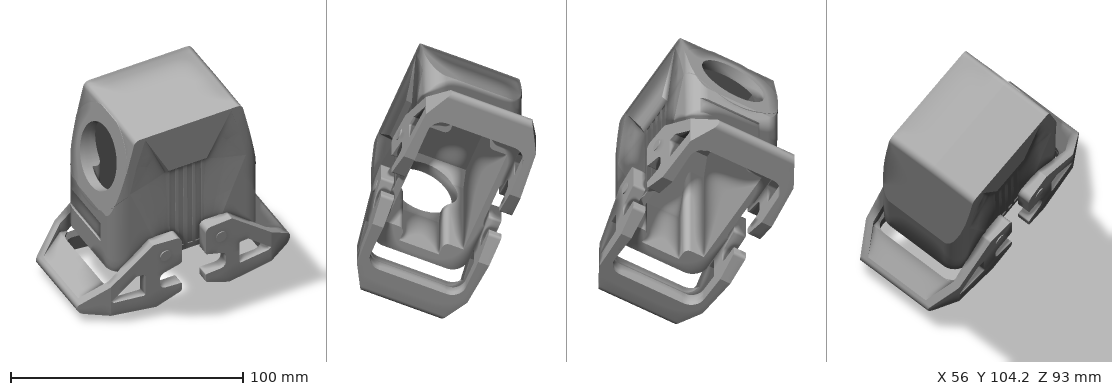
import cadquery as cq
import math

RIM_HALF_WIDTH = 22.2
TOP_HALF_WIDTH = 23.0
HOOD_HALF_LENGTH = 36.3
HOOD_HEIGHT = 72.2
EAVES_HEIGHT = 71.7
SHOULDER_HEIGHT = 29.2
LEAN = 0.235
CORNER_RADIUS = 7.6
TOP_RADIUS = 3.1

SIDE_WALL = 4.2
END_WALL = 5.1
CAVITY_HEIGHT = 67.7
CAVITY_CORNER_RADIUS = 3.1
POST_INNER_X = 9.2
POST_FRONT_Y = 24.9
POST_RADIUS = 2.6

ENTRY_HEIGHT = 48.9
ENTRY_RADIUS = 15.3
ENTRY_DEPTH = 13.5
COLLAR_RADIUS = 23.7
COLLAR_PROUD = 0.16
COLLAR_DEPTH = 4.2
COLLAR_TOP = 70.9
COLLAR_OVERHANG = 0.3

LABEL_LEFT = -18.3
LABEL_RIGHT = 10.4
LABEL_BOTTOM = 10.8
LABEL_TOP = 20.9
LABEL_DEPTH = 1.0

CHANNEL_RIM_X = 20.8
CHANNEL_TOP_X = 20.2
LEDGE_FOOT_HEIGHT = 46.1
PLATEAU_DEPTH = 0.2
GROOVE_BOTTOM = 2.7
GROOVE_DEPTH = 0.5
GROOVE_SPANS = ((0.8, 3.4), (4.8, 7.8))

LEVER_TIP_Y = 52.1
LEVER_INNER_X = 22.1
LEVER_HOOK_X = 56.0 / 2
LEVER_BEND_X = 25.6
LEVER_BEND_Y = 39.3
LEVER_TIP_X = 18.7
LEVER_HOOK_Y = 5.8
BAR_INNER_Y = 38.6
BAR_CORNER_RADIUS = 6.5
TRAY_END_Y = 50.2
TRAY_END_X = 15.7
TRAY_END_HEIGHT = -11.8
TRAY_INNER_HEIGHT = -6.8
WEB_INNER_Y = 29.2
WEB_INNER_HEIGHT = -8.9
PIVOT_Y = 13.5
PIVOT_HEIGHT = 6.4
PIVOT_RADIUS = 2.6
PIVOT_INNER_X = 19.3
PIVOT_OUTER_X = 27.8

OVERCUT = 3.1
REACH = 104.2
SPOT_SIZE = 0.2

LEAN_ANGLE = math.atan(LEAN)


def side_x(z):
    """Half width of the drafted hood side at height z."""
    return RIM_HALF_WIDTH + (TOP_HALF_WIDTH - RIM_HALF_WIDTH) * z / EAVES_HEIGHT


def end_y(z):
    """Distance of the leaning end wall from the middle at height z."""
    return HOOD_HALF_LENGTH - LEAN * (z - SHOULDER_HEIGHT)


def end_profile(height, wall, entry_inset=0.0):
    """Side outline with leaning ends, inset by wall, extruded across the hood.

    The leaning wall on the entry end is set back a further entry_inset.
    """
    top = height + OVERCUT
    right = [
        (HOOD_HALF_LENGTH - wall, -OVERCUT),
        (HOOD_HALF_LENGTH - wall, SHOULDER_HEIGHT),
        (end_y(top) - wall, top),
    ]
    bend = SHOULDER_HEIGHT - entry_inset / LEAN
    left = [
        (-end_y(top) + wall + entry_inset, top),
        (-HOOD_HALF_LENGTH + wall, bend),
        (-HOOD_HALF_LENGTH + wall, -OVERCUT),
    ]
    return cq.Workplane("YZ").polyline(right + left).close().extrude(HOOD_HALF_LENGTH, both=True)


def rounded_block():
    """Drafted block with a ridged top and rounded upright corners."""
    section = [
        (-RIM_HALF_WIDTH, 0),
        (RIM_HALF_WIDTH, 0),
        (TOP_HALF_WIDTH, EAVES_HEIGHT),
        (0, HOOD_HEIGHT),
        (-TOP_HALF_WIDTH, EAVES_HEIGHT),
    ]
    block = cq.Workplane("XZ").polyline(section).close().extrude(HOOD_HALF_LENGTH, both=True)
    corners = cq.selectors.BoxSelector(
        (-REACH, -REACH, OVERCUT), (REACH, REACH, EAVES_HEIGHT - OVERCUT)
    )
    return block.edges(corners).fillet(CORNER_RADIUS)


def hood_body():
    body = rounded_block().intersect(end_profile(HOOD_HEIGHT, 0, COLLAR_PROUD))
    top_y = end_y(HOOD_HEIGHT)
    for side in (-1, 1):
        rim = cq.selectors.BoxSelector(
            (-REACH, side * top_y - 1, EAVES_HEIGHT - 1),
            (REACH, side * top_y + 1, HOOD_HEIGHT + 1),
        )
        body = body.edges(rim).edges("not #X").fillet(TOP_RADIUS)
    return body


def cavity():
    length = 2 * (HOOD_HALF_LENGTH - END_WALL)
    room = (
        cq.Workplane("XY")
        .rect(2 * (RIM_HALF_WIDTH - SIDE_WALL), length)
        .extrude(CAVITY_HEIGHT)
        .edges("|Z").fillet(CAVITY_CORNER_RADIUS)
        .intersect(end_profile(CAVITY_HEIGHT, END_WALL))
    )
    post_width = RIM_HALF_WIDTH - POST_INNER_X
    post_length = HOOD_HALF_LENGTH - POST_FRONT_Y
    for side in (-1, 1):
        post = (
            cq.Workplane("XY")
            .center(side * (POST_INNER_X + post_width / 2), POST_FRONT_Y + post_length / 2)
            .rect(post_width, post_length)
            .extrude(HOOD_HEIGHT)
            .edges("|Z").edges("<Y").edges("<X" if side > 0 else ">X").fillet(POST_RADIUS)
        )
        room = room.cut(post).cut(post.mirror("XZ"))
    return room


def entry_disc(radius, start, depth):
    """Disc on the leaning -Y end wall, from start outside the wall to depth inside."""
    outward = (0, -math.cos(LEAN_ANGLE), math.sin(LEAN_ANGLE))
    plane = cq.Plane(origin=(0, -end_y(ENTRY_HEIGHT), ENTRY_HEIGHT), xDir=(1, 0, 0), normal=outward)
    return cq.Workplane(plane).workplane(offset=start).circle(radius).extrude(-start - depth)


def collar():
    envelope = rounded_block().translate((0, -COLLAR_OVERHANG, 0))
    envelope = envelope.intersect(
        cq.Workplane("XY").rect(2 * REACH, 2 * REACH).extrude(COLLAR_TOP)
    )
    return entry_disc(COLLAR_RADIUS, 0, COLLAR_DEPTH).intersect(envelope)


def label_recess():
    return cq.Workplane("XY").box(
        LABEL_RIGHT - LABEL_LEFT, 2 * LABEL_DEPTH, LABEL_TOP - LABEL_BOTTOM
    ).translate(
        ((LABEL_LEFT + LABEL_RIGHT) / 2, -HOOD_HALF_LENGTH, (LABEL_BOTTOM + LABEL_TOP) / 2)
    )


def channel_x(z):
    return CHANNEL_RIM_X + (CHANNEL_TOP_X - CHANNEL_RIM_X) * z / LEDGE_FOOT_HEIGHT


def skin(y, z):
    return (side_x(z), y, z)


def sunk(y, z, depth):
    return (side_x(z) - depth, y, z)


def floor(y, z):
    return (channel_x(z), y, z)


def line(a, b):
    return cq.Edge.makeLine(cq.Vector(*a), cq.Vector(*b))


def flat(points):
    return cq.Face.makeFromWires(cq.Wire.makePolygon([cq.Vector(*p) for p in points], close=True))


def patch(a, b, c, d):
    """Four-cornered patch, straight along its edges."""
    return cq.Face.makeRuledSurface(line(a, b), line(d, c))


def mirrored(points):
    return [(x, -y, z) for x, y, z in points]


def side_recess():
    """Faceted hollow in the +X side, as one cutter solid."""
    below_rim = -1.0
    apex = sunk(21.0, 70.4, PLATEAU_DEPTH)
    upper_rim = skin(25.2, 57.0)
    elbow = skin(28.3, 42.7)
    lower_rim = skin(21.7, 26.3)
    rim_end = skin(11.0, below_rim)
    plateau = sunk(9.3, 48.3, PLATEAU_DEPTH)
    foot = floor(10.0, LEDGE_FOOT_HEIGHT)
    channel_bend = floor(8.9, 28.4)
    channel_end = floor(8.9, below_rim)
    strip = tuple((a + f) / 2 for a, f in zip(apex, foot))
    valley_top = sunk(19.5, 53.9, 1.1)
    valley_mid = sunk(18.9, 44.2, 1.3)
    valley_low = sunk(14.3, 23.7, 1.1)
    valley_end = sunk(10.3, below_rim, 0.7)

    quads = (
        (apex, upper_rim, valley_top, strip),
        (upper_rim, elbow, valley_mid, valley_top),
        (strip, valley_top, valley_mid, foot),
        (elbow, lower_rim, valley_low, valley_mid),
        (foot, valley_mid, valley_low, channel_bend),
        (lower_rim, rim_end, valley_end, valley_low),
        (channel_bend, valley_low, valley_end, channel_end),
    )
    faces = []
    for quad in quads:
        faces.append(patch(*quad))
        faces.append(patch(*mirrored(quad)))
    for strip_face in ((apex, strip, plateau), (strip, foot, plateau)):
        faces.append(flat(strip_face))
        faces.append(flat(mirrored(strip_face)))

    channel_edge = [foot, channel_bend, channel_end]
    faces.append(flat(channel_edge + mirrored(channel_edge)[::-1]))
    ledge_edge = [plateau, foot]
    faces.append(flat(ledge_edge + mirrored(ledge_edge)[::-1]))

    plateau_edge = [apex, plateau]
    faces.append(flat(plateau_edge + mirrored(plateau_edge)[::-1]))

    outline = [apex, upper_rim, elbow, lower_rim, rim_end, valley_end, channel_end]
    outline += mirrored(outline)[::-1]
    cap_x = TOP_HALF_WIDTH + OVERCUT
    cap = [(cap_x, y, z) for x, y, z in outline]
    faces.append(flat(cap))
    for i in range(len(outline)):
        j = (i + 1) % len(outline)
        faces.append(flat([outline[i], outline[j], cap[j], cap[i]]))
    return cq.Workplane(cq.Solid.makeSolid(cq.Shell.makeShell(faces)).fix())


def grip_grooves():
    section = [
        (channel_x(GROOVE_BOTTOM) - GROOVE_DEPTH, GROOVE_BOTTOM),
        (channel_x(GROOVE_BOTTOM) + GROOVE_DEPTH, GROOVE_BOTTOM),
        (channel_x(LEDGE_FOOT_HEIGHT) + GROOVE_DEPTH, LEDGE_FOOT_HEIGHT),
        (channel_x(LEDGE_FOOT_HEIGHT) - GROOVE_DEPTH, LEDGE_FOOT_HEIGHT),
    ]
    grooves = cq.Workplane("XY")
    for near, far in GROOVE_SPANS:
        bar = cq.Workplane("XZ").polyline(section).close().extrude(near - far)
        bar = bar.translate((0, near, 0))
        grooves = grooves.add(bar).add(bar.mirror("XZ"))
    return grooves.combine()


def across(points):
    """Closed outline in the YZ plane extruded across both arms."""
    return cq.Workplane("YZ").polyline(points).close().extrude(2 * LEVER_HOOK_X, both=True)


def round_at(solid, spots, radius):
    """Round the X-parallel edges that pass through the given (y, z) spots."""
    for y, z in spots:
        box = cq.selectors.BoxSelector(
            (-REACH, y - SPOT_SIZE, z - SPOT_SIZE), (REACH, y + SPOT_SIZE, z + SPOT_SIZE)
        )
        solid = solid.edges("|X").edges(box).fillet(radius)
    return solid


def tip_radius(above, point, below):
    """Radius whose rounding of the pointed tip just reaches LEVER_TIP_Y."""
    upper_slope = (above[1] - point[1]) / (point[0] - above[0])
    lower_slope = (point[1] - below[1]) / (point[0] - below[0])
    blunt_height = (point[0] - LEVER_TIP_Y) * (upper_slope + lower_slope)
    upper_turn = math.pi / 2 - math.atan(upper_slope)
    lower_turn = math.pi / 2 - math.atan(lower_slope)
    return blunt_height / (math.tan(upper_turn / 2) + math.tan(lower_turn / 2))


def lever():
    """Lever on the +Y end: two hooked arms joined by a handle bar."""
    hook_y = LEVER_HOOK_Y
    shoulder = (hook_y, 14.0)
    slope_top = (19.2, 14.0)
    tip_point = (56.3, -16.9)
    heel = (17.8, -20.8)
    hook_bottom = (hook_y, -15.8)
    hook_top = (hook_y, -11.5)
    throat_low = (16.2, -11.5)
    throat_high = (16.2, -3.8)
    jaw = (hook_y, -0.3)
    profile = across([
        shoulder, slope_top, tip_point, heel,
        hook_bottom, hook_top, throat_low, throat_high, jaw,
    ])
    profile = round_at(profile, [shoulder, throat_low], 2.7)
    profile = round_at(profile, [throat_high], 3.1)
    profile = round_at(profile, [tip_point], tip_radius(slope_top, tip_point, heel))
    profile = round_at(profile, [hook_bottom], 1.6)
    profile = round_at(profile, [jaw, slope_top], 1.3)
    profile = round_at(profile, [hook_top], 0.5)

    window = [(23.0, -0.9), (27.4, -0.9), (39.0, -10.8), (37.9, -11.9), (23.0, -12.7)]
    window = round_at(across(window), window[:1] + window[4:], 0.8)
    profile = profile.cut(window)

    right = [
        (LEVER_HOOK_X, LEVER_HOOK_Y),
        (LEVER_BEND_X, LEVER_BEND_Y),
        (LEVER_TIP_X, LEVER_TIP_Y),
        (LEVER_TIP_X, LEVER_TIP_Y + OVERCUT),
    ]
    left = [(-x, y) for x, y in reversed(right)]
    plan = cq.Workplane("XY").polyline(right + left).close().extrude(REACH, both=True)
    frame = profile.intersect(plan)
    return frame.cut(arm_gap()).cut(bar_recess())


def arm_gap():
    """Space between the arms, with rounded corners where they join the bar."""
    return (
        cq.Workplane("XY")
        .center(0, BAR_INNER_Y / 2)
        .rect(2 * LEVER_INNER_X, BAR_INNER_Y)
        .extrude(REACH, both=True)
        .edges("|Z").edges(">Y").fillet(BAR_CORNER_RADIUS)
    )


def bar_recess():
    """Shallow tray on the bar, falling away again towards the arm corners."""
    tray = across([
        (TRAY_END_Y, TRAY_END_HEIGHT),
        (BAR_INNER_Y, TRAY_INNER_HEIGHT),
        (WEB_INNER_Y, WEB_INNER_HEIGHT),
        (WEB_INNER_Y, REACH),
        (TRAY_END_Y, REACH),
    ])
    right = [(LEVER_INNER_X, 0), (LEVER_INNER_X, BAR_INNER_Y), (TRAY_END_X, TRAY_END_Y)]
    left = [(-x, y) for x, y in reversed(right)]
    plan = cq.Workplane("XY").polyline(right + left).close().extrude(REACH, both=True)
    return tray.intersect(plan)


def pivots():
    """Pivot pins that tie the four arms to the hood sides."""
    pins = cq.Workplane("XY")
    for side in (-1, 1):
        for end in (-1, 1):
            pin = (
                cq.Workplane("YZ", origin=(side * PIVOT_INNER_X, 0, 0))
                .center(end * PIVOT_Y, PIVOT_HEIGHT)
                .circle(PIVOT_RADIUS)
                .extrude(side * (PIVOT_OUTER_X - PIVOT_INNER_X))
            )
            pins = pins.add(pin)
    return pins.combine()


hood = hood_body().union(collar()).cut(label_recess())
recess = side_recess().union(grip_grooves())
hood = hood.cut(recess).cut(recess.mirror("YZ"))
hood = hood.cut(cavity()).cut(entry_disc(ENTRY_RADIUS, OVERCUT, ENTRY_DEPTH))

back_lever = lever()
result = hood.union(back_lever).union(back_lever.mirror("XZ")).union(pivots())